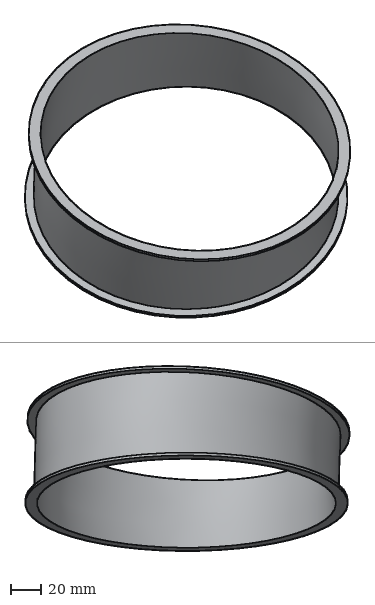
import cadquery as cq

flange_diameter = 214.0
flange_thickness = 2.0
wall_outer_diameter = 202.0
wall_thickness = 2.0
bend_angle = 5.0
bend_radius = 628.5

wall_inner_diameter = wall_outer_diameter - 2 * wall_thickness


def bent_cylinder(diameter):
    """Solid round bar swept about the bend axis, which runs along X on the +Y side."""
    return (
        cq.Workplane("XY")
        .circle(diameter / 2)
        .revolve(bend_angle, (0, bend_radius, 0), (-1, bend_radius, 0))
    )


def flange_disc():
    """Flange blank lying on the bottom end plane."""
    return cq.Workplane("XY").circle(flange_diameter / 2).extrude(flange_thickness)


bottom_flange = flange_disc()

top_flange = (
    flange_disc()
    .translate((0, 0, -flange_thickness))
    .rotate((0, bend_radius, 0), (-1, bend_radius, 0), bend_angle)
)

outer_body = bent_cylinder(wall_outer_diameter).union(bottom_flange).union(top_flange)
result = outer_body.cut(bent_cylinder(wall_inner_diameter))